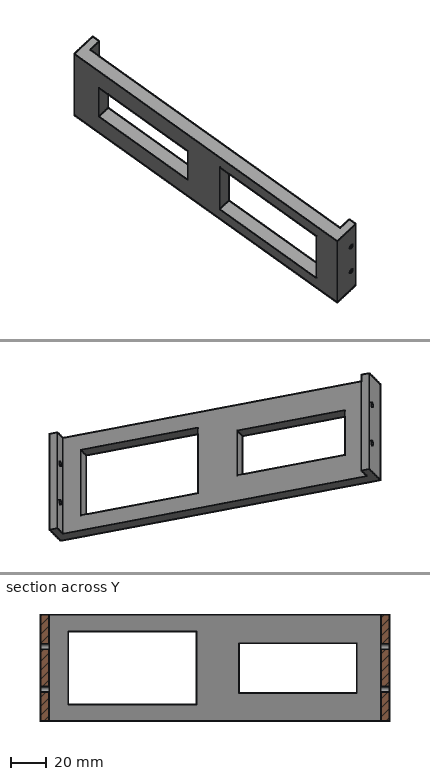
import cadquery as cq

length = 196.5
depth = 16.0
height = 60.0

panel_thickness = 8.0
flange_thickness = 5.0

small_window_width = 66.2
small_window_height = 28.0
small_window_left = 18.5
small_window_bottom = 16.0
large_window_width = 72.1
large_window_height = 40.9
large_window_left = 108.7
large_window_bottom = 9.5

hole_diameter = 3.0
hole_spacing = 24.0
hole_y = 12.0


def box(width, box_depth, box_height, left, front, bottom):
    """Box placed by its lower, front, left corner."""
    return (
        cq.Workplane("XY")
        .box(width, box_depth, box_height, centered=False)
        .translate((left, front, bottom))
    )


def window(width, window_height, left, bottom):
    """Rectangular cutter through the front panel."""
    return box(width, panel_thickness, window_height, left, 0, bottom)


inner_length = length - 2 * flange_thickness
inner_depth = depth - panel_thickness
body = box(length, depth, height, 0, 0, 0)
body = body.cut(box(inner_length, inner_depth, height, flange_thickness, panel_thickness, 0))

body = body.cut(window(small_window_width, small_window_height, small_window_left, small_window_bottom))
body = body.cut(window(large_window_width, large_window_height, large_window_left, large_window_bottom))

for side in (-1, 1):
    hole_z = height / 2 + side * hole_spacing / 2
    hole = (
        cq.Workplane("YZ")
        .center(hole_y, hole_z)
        .circle(hole_diameter / 2)
        .extrude(length)
    )
    body = body.cut(hole)

result = body